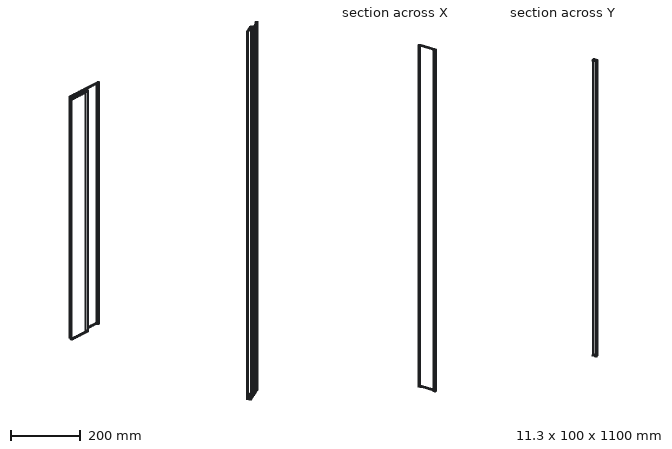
import cadquery as cq

LENGTH = 1100.0
WIDTH = 100.0
DEPTH = 11.3

PLATE_THICKNESS = 1.25

HOOK_EDGE_GAP = 1.5
HOOK_WIDTH = 6.0
HOOK_DEPTH = 5.0

BODY_WIDTH = 55.5
FACE_WALL = 2.1
BACK_WALL = 1.5
END_WALL = 5.0
CHAMBER_LENGTH = 45.0

LIP_THICKNESS = 4.8
LIP_HEIGHT = 1.0

FACE_X = -DEPTH / 2
BACK_X = DEPTH / 2
BOTTOM_Y = -WIDTH / 2
TOP_Y = WIDTH / 2
BODY_TOP_Y = BOTTOM_Y + BODY_WIDTH


def profile_bar():
    """Solid profile: plate with hook rib at the top, full-depth body with catch lip below."""
    plate_back_x = FACE_X + PLATE_THICKNESS
    hook_back_x = FACE_X + HOOK_DEPTH
    hook_top_y = TOP_Y - HOOK_EDGE_GAP
    hook_bottom_y = hook_top_y - HOOK_WIDTH
    lip_front_x = BACK_X - LIP_THICKNESS
    lip_top_y = BODY_TOP_Y + LIP_HEIGHT
    outline = [
        (FACE_X, BOTTOM_Y),
        (BACK_X, BOTTOM_Y),
        (BACK_X, lip_top_y),
        (lip_front_x, lip_top_y),
        (lip_front_x, BODY_TOP_Y),
        (plate_back_x, BODY_TOP_Y),
        (plate_back_x, hook_bottom_y),
        (hook_back_x, hook_bottom_y),
        (hook_back_x, hook_top_y),
        (plate_back_x, hook_top_y),
        (plate_back_x, TOP_Y),
        (FACE_X, TOP_Y),
    ]
    return cq.Workplane("XY").polyline(outline).close().extrude(LENGTH)


def chamber():
    """Through chamber of the body, with full-round ends."""
    chamber_depth = DEPTH - FACE_WALL - BACK_WALL
    center_x = FACE_X + FACE_WALL + chamber_depth / 2
    center_y = BOTTOM_Y + END_WALL + CHAMBER_LENGTH / 2
    return (
        cq.Workplane("XY")
        .center(center_x, center_y)
        .slot2D(CHAMBER_LENGTH, chamber_depth, 90)
        .extrude(LENGTH)
    )


result = profile_bar().cut(chamber())